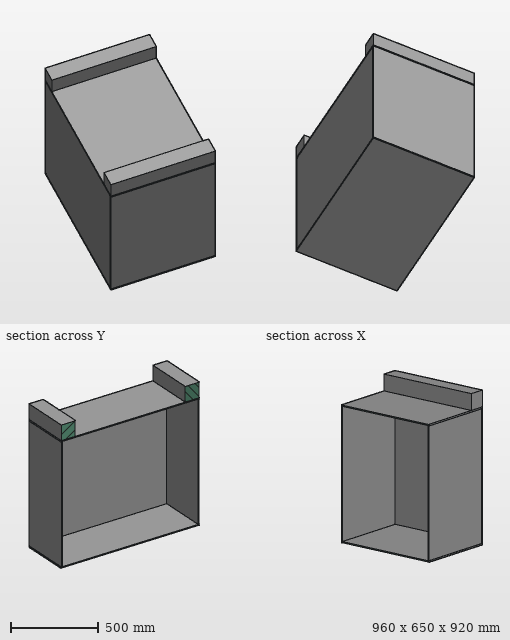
import cadquery as cq

box_width = 960.0
box_depth = 650.0
box_height = 820.0
sheet = 10.0

beam_size = 100.0

inner_width = box_width - 2 * sheet
inner_height = box_height - 2 * sheet


def block(width, depth, height, x=0.0, y=0.0, z=0.0):
    """Block centred on (x, y) with its underside at height z."""
    return (
        cq.Workplane("XY")
        .box(width, depth, height, centered=(True, True, False))
        .translate((x, y, z))
    )


def horizontal_panel(z):
    """Full-size panel that closes the box at the bottom or the top."""
    return block(box_width, box_depth, sheet, z=z)


def side_panel(side):
    """Full-depth panel between bottom and top, on the -X or +X side."""
    offset = side * (box_width - sheet) / 2
    return block(sheet, box_depth, inner_height, x=offset, z=sheet)


def face_panel(side):
    """Panel fitted between the side panels, flush with the -Y or +Y edges."""
    offset = side * (box_depth - sheet) / 2
    return block(inner_width, sheet, inner_height, y=offset, z=sheet)


def beam(side):
    """Full-depth beam flush with the -X or +X side of the top panel."""
    offset = side * (box_width - beam_size) / 2
    return block(beam_size, box_depth, beam_size, x=offset, z=box_height)


bottom_panel = horizontal_panel(0.0)
top_panel = horizontal_panel(box_height - sheet)

both_sides = (-1, 1)
side_panels = [side_panel(side) for side in both_sides]
face_panels = [face_panel(side) for side in both_sides]
beams = [beam(side) for side in both_sides]

bodies = [bottom_panel, top_panel, *side_panels, *face_panels, *beams]
result = cq.Compound.makeCompound([body.val() for body in bodies])